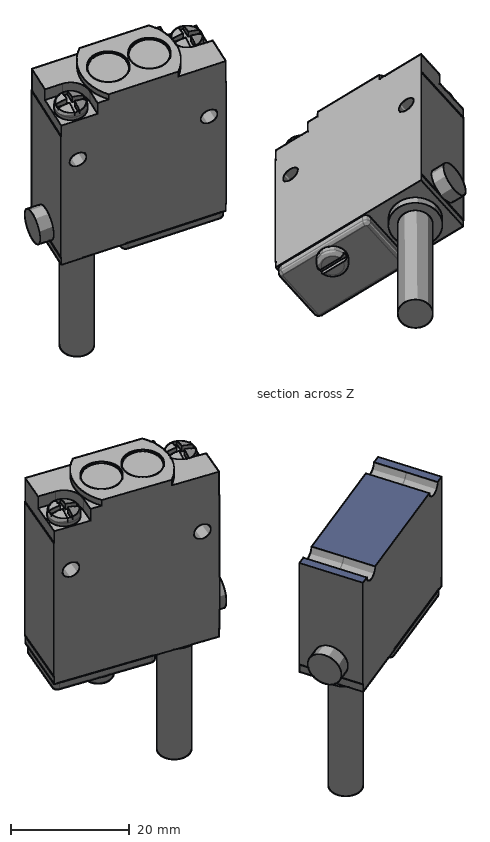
import cadquery as cq

WIDTH = 11.95
LENGTH = 30.5
HEIGHT = 36.3

BAND_STEP = 0.1
BAND_BOTTOM = 1.7
BAND_TOP = 31.1

WINDOW_RADIUS = 8.8
WINDOW_HEIGHT = 1.2
LENS_RADIUS = 3.6
LENS_OFFSET = 3.8
LENS_GAP = 0.1
LENS_DEPTH = 0.25
LENS_GROOVE_DEPTH = 0.5

POCKET_DEPTH = 2.6
POCKET_RADIUS = 3.55
SCREW_X = 2.9
SCREW_Y = -12.1
SCREW_RADIUS = 2.85
SCREW_RIM_HEIGHT = 0.8
SCREW_DOME_RADIUS = 2.6
SCREW_DOME_BASE = 1.55
SCREW_HEIGHT = 2.1
SCREW_SLOT_DEPTH = 1.3
SCREW_SLOT_LENGTH = 2 * SCREW_DOME_RADIUS
SLOT_WIDTH = 1.0

HOLE_DIAMETER = 3.1
HOLE_SPACING = 24.3
HOLE_Z = 24.2

BUTTON_RADIUS = 3.2
BUTTON_LENGTH = 2.5
BUTTON_Z = 4.8

CABLE_Y = -9.65
CABLE_DIAMETER = 5.95
CABLE_END_Z = -27.15
COLLAR_DIAMETER = 9.1
COLLAR_HEIGHT = 1.55

PLATE_WIDTH = 11.7
PLATE_BACK = 15.2
PLATE_FRONT = -3.8
PLATE_HEIGHT = 1.95
PLATE_CORNER_RADIUS = 1.0
PLATE_EDGE_RADIUS = 0.7

KNOB_X = -2.8
KNOB_Y = 5.7
KNOB_RADIUS = 2.7
KNOB_HEIGHT = 1.8
KNOB_EDGE_RADIUS = 0.8
KNOB_SLOT_DEPTH = 1.0

BAND_LENGTH = LENGTH + 2 * BAND_STEP
POCKET_FLOOR = HEIGHT - POCKET_DEPTH


def box(width, length, bottom, top):
    """Upright box centred on the Z axis."""
    return cq.Workplane("XY", origin=(0, 0, bottom)).rect(width, length).extrude(top - bottom)


def cylinder(x, y, radius, bottom, top):
    """Upright cylinder between two heights."""
    return cq.Workplane("XY", origin=(x, y, bottom)).circle(radius).extrude(top - bottom)


def make_housing():
    band = box(WIDTH, BAND_LENGTH, BAND_BOTTOM, BAND_TOP)
    holes = (
        cq.Workplane("YZ", origin=(0, 0, HOLE_Z))
        .pushPoints([(-HOLE_SPACING / 2, 0), (HOLE_SPACING / 2, 0)])
        .circle(HOLE_DIAMETER / 2)
        .extrude(WIDTH, both=True)
    )
    return box(WIDTH, LENGTH, 0, HEIGHT).union(band).cut(holes)


def make_pocket():
    """Pocket of the +X -Y corner; its inner corner is rounded around the screw."""
    left = SCREW_X - POCKET_RADIUS
    back = SCREW_Y + POCKET_RADIUS
    pocket_width = WIDTH / 2 - left
    pocket_length = back + LENGTH / 2
    return (
        cq.Workplane("XY", origin=(left, back, POCKET_FLOOR))
        .rect(pocket_width, -pocket_length, centered=False)
        .extrude(POCKET_DEPTH)
        .edges("|Z and <X and >Y")
        .fillet(POCKET_RADIUS)
    )


def make_screw():
    """Domed screw head standing on the pocket floor, with a cross slot."""
    head = (
        cq.Workplane("XZ")
        .lineTo(SCREW_RADIUS, 0)
        .lineTo(SCREW_RADIUS, SCREW_RIM_HEIGHT)
        .tangentArcPoint((SCREW_DOME_RADIUS, SCREW_DOME_BASE), relative=False)
        .lineTo(0, SCREW_DOME_BASE)
        .close()
        .revolve(360, (0, 0, 0), (0, 1, 0))
    )
    dome_rise = SCREW_HEIGHT - SCREW_DOME_BASE
    sphere_radius = (SCREW_DOME_RADIUS**2 + dome_rise**2) / (2 * dome_rise)
    sphere = cq.Workplane("XY", origin=(0, 0, SCREW_HEIGHT - sphere_radius)).sphere(sphere_radius)
    dome = sphere.intersect(cylinder(0, 0, SCREW_RADIUS, SCREW_DOME_BASE, SCREW_HEIGHT))
    slot_floor = SCREW_HEIGHT - SCREW_SLOT_DEPTH
    slot_x = box(SCREW_SLOT_LENGTH, SLOT_WIDTH, slot_floor, SCREW_HEIGHT)
    slot_y = box(SLOT_WIDTH, SCREW_SLOT_LENGTH, slot_floor, SCREW_HEIGHT)
    screw = head.union(dome).cut(slot_x).cut(slot_y)
    return screw.translate((SCREW_X, SCREW_Y, POCKET_FLOOR))


def make_window():
    top = HEIGHT + WINDOW_HEIGHT
    disc = cylinder(0, 0, WINDOW_RADIUS, HEIGHT, top)
    window = disc.intersect(box(WIDTH, LENGTH, HEIGHT, top))
    for y in (-LENS_OFFSET, LENS_OFFSET):
        recess = cylinder(0, y, LENS_RADIUS, top - LENS_GROOVE_DEPTH, top)
        lens = cylinder(0, y, LENS_RADIUS - LENS_GAP, top - LENS_GROOVE_DEPTH, top - LENS_DEPTH)
        window = window.cut(recess).union(lens)
    return window


def make_button():
    button_root = (0, -LENGTH / 2, BUTTON_Z)
    return (
        cq.Workplane("XZ", origin=button_root)
        .circle(BUTTON_RADIUS)
        .extrude(BAND_STEP + BUTTON_LENGTH)
    )


def make_cable():
    collar = cylinder(0, CABLE_Y, COLLAR_DIAMETER / 2, -COLLAR_HEIGHT, 0)
    return collar.union(cylinder(0, CABLE_Y, CABLE_DIAMETER / 2, CABLE_END_Z, 0))


def make_cover_plate():
    plate_length = PLATE_BACK - PLATE_FRONT
    return (
        box(PLATE_WIDTH, plate_length, -PLATE_HEIGHT, 0)
        .edges("|Z")
        .fillet(PLATE_CORNER_RADIUS)
        .faces("<Z")
        .edges()
        .fillet(PLATE_EDGE_RADIUS)
        .translate((0, (PLATE_BACK + PLATE_FRONT) / 2, 0))
    )


def make_knob():
    bottom = -PLATE_HEIGHT - KNOB_HEIGHT
    slot = box(SLOT_WIDTH, 2 * KNOB_RADIUS, bottom, bottom + KNOB_SLOT_DEPTH)
    return (
        cylinder(KNOB_X, KNOB_Y, KNOB_RADIUS, bottom, -PLATE_HEIGHT)
        .faces("<Z")
        .edges()
        .fillet(KNOB_EDGE_RADIUS)
        .cut(slot.translate((KNOB_X, KNOB_Y, 0)))
    )


result = make_housing()
for angle in (0, 180):
    pocket = make_pocket().rotate((0, 0, 0), (0, 0, 1), angle)
    screw = make_screw().rotate((0, 0, 0), (0, 0, 1), angle)
    result = result.cut(pocket).union(screw)

for feature in (make_window(), make_button(), make_cable(), make_cover_plate(), make_knob()):
    result = result.union(feature)